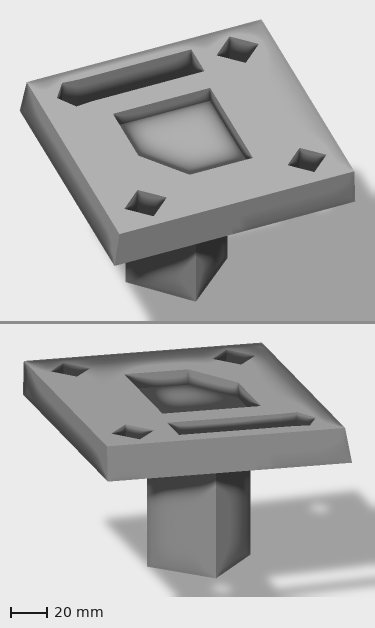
import cadquery as cq

total_height = 101.0
plate_width = 147.0
plate_depth = 141.8
plate_thickness = 20.1
plate_drop = 5.5
back_y = 77.4
front_y = back_y - plate_depth
side_draft = 1.5
front_draft = 3.5
slope = plate_drop / plate_depth

post_half_diagonal = 30.0

hole_x = 52.5
large_diamond = 25.0
small_diamond = 23.0
diamond_holes = [
    (-hole_x, 55.9, large_diamond),
    (hole_x, 56.9, small_diamond),
    (hole_x, -38.1, large_diamond),
]

slot_half_width = 10.3
slot_flared_half_width = 11.2
slot_back_y = 32.5
slot_flare_start_y = -34.0
slot_shoulder_y = -43.2
slot_tip_y = -50.5

pocket_left = -27.4
pocket_right = 39.0
pocket_back = 30.1
pocket_front = -27.0
pocket_corner_x = 12.2
pocket_corner_y = -7.0
pocket_depth = 9.0


def top_z(y):
    """Height of the sloping plate top at a given Y."""
    return total_height - slope * (back_y - y)


def bottom_z(y):
    """Height of the sloping plate underside at a given Y."""
    return top_z(y) - plate_thickness


def sloping_rectangle(half_width, front, height_at):
    """Rectangle lying on a plane that slopes along Y."""
    corners = [
        (-half_width, back_y),
        (half_width, back_y),
        (half_width, front),
        (-half_width, front),
    ]
    points = [cq.Vector(x, y, height_at(y)) for x, y in corners]
    return cq.Wire.makePolygon(points, close=True)


def make_plate():
    half_width = plate_width / 2
    underside = sloping_rectangle(half_width, front_y, bottom_z)
    top = sloping_rectangle(half_width - side_draft, front_y + front_draft, top_z)
    return cq.Workplane(obj=cq.Solid.makeLoft([underside, top], True))


def upright_prism(points):
    """Vertical prism from Z = 0 to the overall height."""
    return cq.Workplane("XY").polyline(points).close().extrude(total_height)


def diamond_prism(x, y, half_diagonal):
    return upright_prism([
        (x - half_diagonal, y),
        (x, y - half_diagonal),
        (x + half_diagonal, y),
        (x, y + half_diagonal),
    ])


def make_post():
    embedded_top = bottom_z(post_half_diagonal) + plate_thickness / 4
    post = diamond_prism(0, 0, post_half_diagonal)
    trim = cq.Workplane("XY").box(plate_width, plate_depth, embedded_top, centered=(True, True, False))
    return post.intersect(trim)


def slot_cutter():
    return upright_prism([
        (-hole_x - slot_half_width, slot_back_y),
        (-hole_x - slot_half_width, slot_flare_start_y),
        (-hole_x - slot_flared_half_width, slot_shoulder_y),
        (-hole_x, slot_tip_y),
        (-hole_x + slot_flared_half_width, slot_shoulder_y),
        (-hole_x + slot_half_width, slot_flare_start_y),
        (-hole_x + slot_half_width, slot_back_y),
    ])


def pocket_cutter():
    outline = upright_prism([
        (pocket_left, pocket_back),
        (pocket_left, pocket_front),
        (pocket_corner_x, pocket_front),
        (pocket_right, pocket_corner_y),
        (pocket_right, pocket_back),
    ])
    floor_to_top = make_plate().translate((0, 0, plate_thickness - pocket_depth))
    return outline.intersect(floor_to_top)


plate = make_plate().cut(slot_cutter()).cut(pocket_cutter())
for center_x, center_y, size in diamond_holes:
    plate = plate.cut(diamond_prism(center_x, center_y, size / 2))

result = plate.union(make_post())